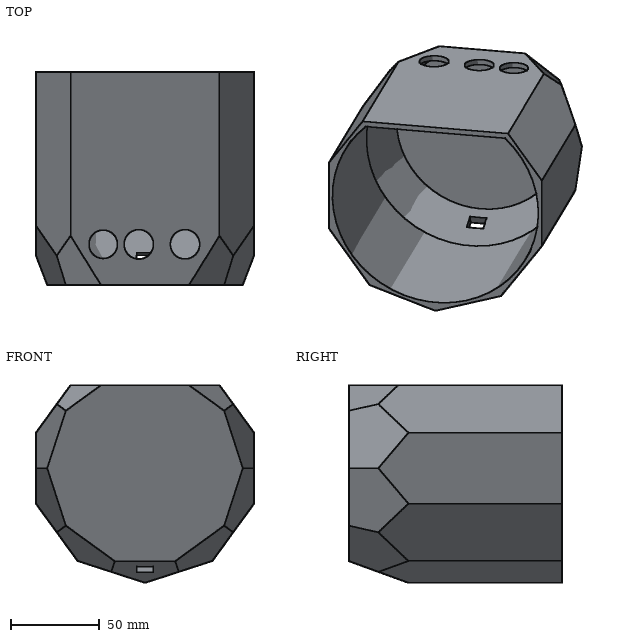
import cadquery as cq
import math

SIDES = 10
WIDTH = 122.69
DEPTH = 120.0
HEIGHT = 111.22
HALF_SECTOR = 180 / SIDES
HALF_SECTOR_COS = math.cos(math.radians(HALF_SECTOR))
APOTHEM = WIDTH / 2
CORNER_RADIUS = APOTHEM / HALF_SECTOR_COS
TOP_Z = HEIGHT - CORNER_RADIUS

BEVEL_ANGLE = 20.0
BEVEL_SLOPE = math.tan(math.radians(BEVEL_ANGLE))
FRONT_APOTHEM = 52.3

SIDE_WALL = 2.0
TOP_WALL = 3.0
FRONT_WALL = 3.0
BEVEL_WALL = 4.5

CAVITY_RADIUS = APOTHEM - SIDE_WALL
BEVEL_WALL_RADIAL = BEVEL_WALL / math.cos(math.radians(BEVEL_ANGLE))
CAVITY_FRONT_RADIUS = FRONT_APOTHEM + FRONT_WALL * BEVEL_SLOPE - BEVEL_WALL_RADIAL
CONE_END_Y = FRONT_WALL + (CAVITY_RADIUS - CAVITY_FRONT_RADIUS) / BEVEL_SLOPE

TOP_HOLES = [(-23.5, 16.0), (-3.5, 16.5), (22.5, 16.5)]
TOP_HOLE_Y = 23.0

SLOT_WIDTH = 9.5
SLOT_LENGTH = 9.0
SLOT_Y = 12.5
SLOT_Z = -(FRONT_APOTHEM + SLOT_Y * BEVEL_SLOPE)
SLOT_CUTTER_HEIGHT = 4 * BEVEL_WALL


def keep_below(body, z):
    """The part of a body lying under the level z."""
    block = cq.Workplane("XY", origin=(0, 0, z)).rect(2 * WIDTH, 3 * DEPTH).extrude(-2 * HEIGHT)
    return body.intersect(block)


def make_outer_body():
    """Ten-sided prism with bevelled front corners and a flat top."""
    prism = (
        cq.Workplane("XZ")
        .polygon(SIDES, 2 * CORNER_RADIUS)
        .extrude(-DEPTH)
        .rotate((0, 0, 0), (0, 1, 0), HALF_SECTOR)
    )
    back_apothem = FRONT_APOTHEM + DEPTH * BEVEL_SLOPE
    pyramid = (
        cq.Workplane("XZ")
        .polygon(SIDES, 2 * FRONT_APOTHEM / HALF_SECTOR_COS)
        .workplane(offset=-DEPTH)
        .polygon(SIDES, 2 * back_apothem / HALF_SECTOR_COS)
        .loft(ruled=True)
    )
    return keep_below(prism.intersect(pyramid), TOP_Z)


def make_cavity():
    """Cone widening into a cylinder that runs out at the back, with a flat ceiling."""
    profile = (
        cq.Workplane("XY")
        .moveTo(0, FRONT_WALL)
        .lineTo(CAVITY_FRONT_RADIUS, FRONT_WALL)
        .lineTo(CAVITY_RADIUS, CONE_END_Y)
        .lineTo(CAVITY_RADIUS, DEPTH)
        .lineTo(0, DEPTH)
        .close()
    )
    return keep_below(profile.revolve(360, (0, 0, 0), (0, 1, 0)), TOP_Z - TOP_WALL)


def make_top_hole(x, diameter):
    """Round cutter through the top wall."""
    start = cq.Workplane("XY", origin=(x, TOP_HOLE_Y, TOP_Z))
    return start.circle(diameter / 2).extrude(-2 * TOP_WALL)


def make_slot():
    """Rectangular cutter through the bottom bevel, square to its surface."""
    return (
        cq.Workplane("XY")
        .box(SLOT_WIDTH, SLOT_LENGTH, SLOT_CUTTER_HEIGHT)
        .rotate((0, 0, 0), (1, 0, 0), -BEVEL_ANGLE)
        .translate((0, SLOT_Y, SLOT_Z))
    )


result = make_outer_body().cut(make_cavity()).cut(make_slot())
for hole_x, hole_diameter in TOP_HOLES:
    result = result.cut(make_top_hole(hole_x, hole_diameter))